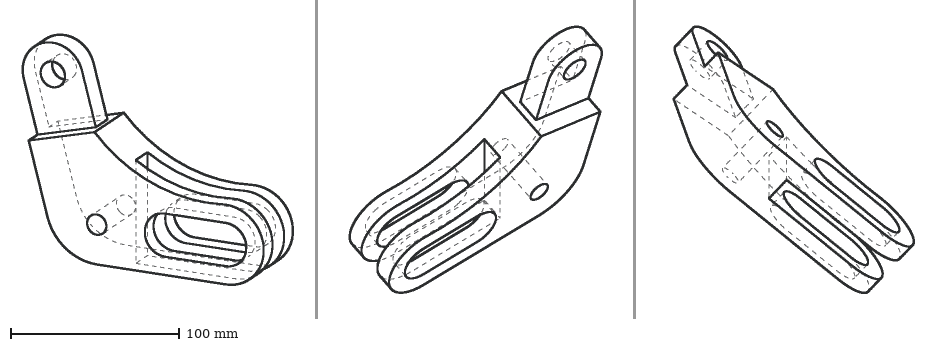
import cadquery as cq
import math

WIDTH = 40.0
CENTER_GAP = 16.0
TILT = math.radians(15)

END_RADIUS = 25.0
PIVOT_DIAMETER = 12.7
FORK_LENGTH = 85.0
GAP_START = 20.0
HEEL_RADIUS = 34.0

LUG_RADIUS = 20.0
LUG_HOLE_DIAMETER = 16.0
LUG_X = -34.8
LUG_Z = 85.3
SHOULDER_DROP = 35.3
SHOULDER_LENGTH = 45.0

SLOT_RADIUS = 13.5
SLOT_TRAVEL = 39.9
SADDLE_RADIUS = 100.0


def lug_point(across, along):
    """Point measured from the lug hole axis, across and along the lug."""
    x = LUG_X + across * math.cos(TILT) - along * math.sin(TILT)
    z = LUG_Z + across * math.sin(TILT) + along * math.cos(TILT)
    return (x, z)


def extrude_centered(profile, thickness):
    return profile.extrude(thickness / 2, both=True)


def polar(center, radius, angle):
    return (center[0] + radius * math.cos(angle), center[1] + radius * math.sin(angle))


def saddle_tangent_point(corner):
    """Point where the saddle arc from the shoulder corner runs tangent into the fork end."""
    span = math.hypot(FORK_LENGTH - corner[0], corner[1])
    center_distance = SADDLE_RADIUS + END_RADIUS
    cosine = (span**2 + center_distance**2 - SADDLE_RADIUS**2) / (2 * span * center_distance)
    corner_angle = math.atan2(corner[1], corner[0] - FORK_LENGTH)
    return polar((FORK_LENGTH, 0), END_RADIUS, corner_angle - math.acos(cosine))


def make_body():
    back_offset = LUG_X * math.cos(TILT) + LUG_Z * math.sin(TILT) - LUG_RADIUS
    heel_z = HEEL_RADIUS - END_RADIUS
    heel_x = (back_offset + HEEL_RADIUS - heel_z * math.sin(TILT)) / math.cos(TILT)
    heel = (heel_x, heel_z)
    back_angle = math.pi + TILT
    middle_angle = (back_angle + 1.5 * math.pi) / 2

    shoulder_back = lug_point(-LUG_RADIUS, -SHOULDER_DROP)
    shoulder_front = lug_point(SHOULDER_LENGTH - LUG_RADIUS, -SHOULDER_DROP)
    saddle_end = saddle_tangent_point(shoulder_front)
    profile = (
        cq.Workplane("XZ")
        .moveTo(*shoulder_back)
        .lineTo(*polar(heel, HEEL_RADIUS, back_angle))
        .threePointArc(
            polar(heel, HEEL_RADIUS, middle_angle),
            polar(heel, HEEL_RADIUS, 1.5 * math.pi),
        )
        .lineTo(FORK_LENGTH, -END_RADIUS)
        .threePointArc((FORK_LENGTH + END_RADIUS, 0), saddle_end)
        .radiusArc(shoulder_front, SADDLE_RADIUS)
        .close()
    )
    return extrude_centered(profile, WIDTH)


def make_lug():
    profile = (
        cq.Workplane("XZ")
        .moveTo(*lug_point(-LUG_RADIUS, -SHOULDER_DROP))
        .lineTo(*lug_point(-LUG_RADIUS, 0))
        .threePointArc(lug_point(0, LUG_RADIUS), lug_point(LUG_RADIUS, 0))
        .lineTo(*lug_point(LUG_RADIUS, -SHOULDER_DROP))
        .close()
    )
    return extrude_centered(profile, CENTER_GAP)


def make_fork_gap():
    length = FORK_LENGTH + END_RADIUS
    height = 2 * LUG_Z
    return cq.Workplane("XY").box(length, CENTER_GAP, height).translate((GAP_START + length / 2, 0, 0))


def make_hole(x, z, diameter):
    return extrude_centered(cq.Workplane("XZ").center(x, z).circle(diameter / 2), WIDTH)


def make_slot():
    profile = (
        cq.Workplane("XZ")
        .center(FORK_LENGTH - SLOT_TRAVEL / 2, 0)
        .slot2D(SLOT_TRAVEL + 2 * SLOT_RADIUS, 2 * SLOT_RADIUS)
    )
    return extrude_centered(profile, WIDTH)


result = (
    make_body()
    .cut(make_fork_gap())
    .union(make_lug())
    .cut(make_hole(0, 0, PIVOT_DIAMETER))
    .cut(make_hole(LUG_X, LUG_Z, LUG_HOLE_DIAMETER))
    .cut(make_slot())
)